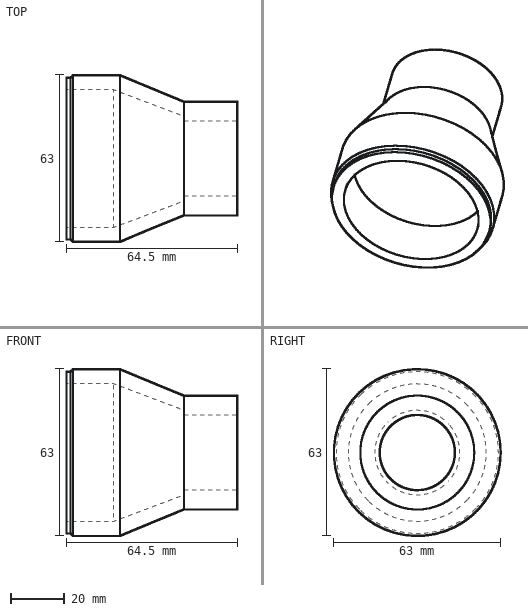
import cadquery as cq

length = 64.5
lip_length = 1.6
shoulder_start = 2.5
wide_bore_depth = 17.8
taper_start = 20.2
taper_end = 44.3

lip_diameter = 61.15
wide_diameter = 63.0
narrow_diameter = 43.0

wide_bore = 52.0
taper_bore_end = 32.0
narrow_bore = 28.3


def revolve_about_x(profile):
    """Turn a list of (position, diameter) pairs into a solid of revolution about X."""
    outline = [(x, diameter / 2) for x, diameter in profile]
    start_x = profile[0][0]
    end_x = profile[-1][0]
    return (
        cq.Workplane("XY")
        .polyline([(start_x, 0)] + outline + [(end_x, 0)])
        .close()
        .revolve(360, (0, 0, 0), (1, 0, 0))
    )


body = revolve_about_x([
    (0, lip_diameter),
    (lip_length, lip_diameter),
    (shoulder_start, wide_diameter),
    (taper_start, wide_diameter),
    (taper_end, narrow_diameter),
    (length, narrow_diameter),
])

passage = revolve_about_x([
    (0, wide_bore),
    (wide_bore_depth, wide_bore),
    (taper_end, taper_bore_end),
    (taper_end, narrow_bore),
    (length, narrow_bore),
])

result = body.cut(passage)